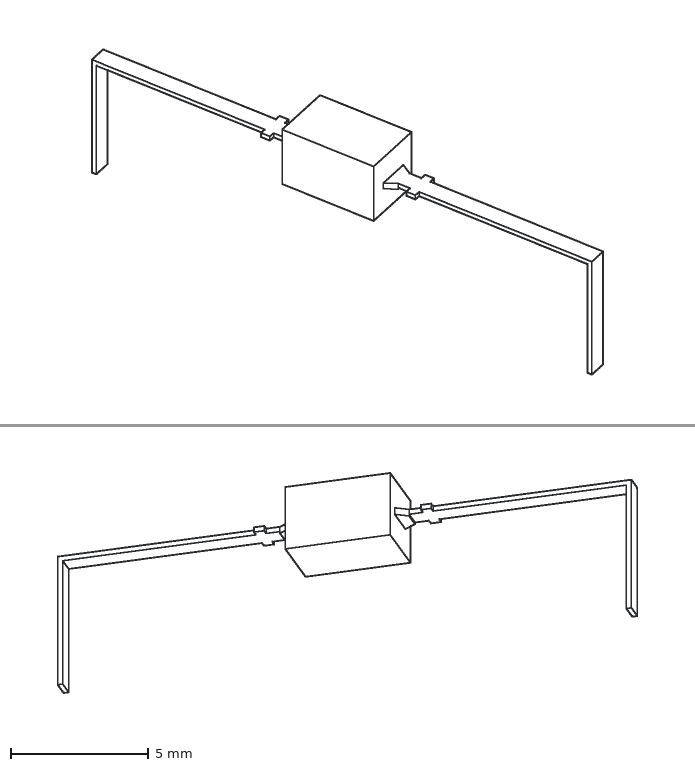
import cadquery as cq

span = 21.9
total_height = 6.33
housing_length = 4.0
housing_width = 2.5

lead_width = 0.75
lead_thickness = 0.2
lead_offset_y = 0.05
lead_drop = 1.16
lead_top = total_height - lead_drop

tab_length = 0.4
tab_width = 1.23
tab_gap = 0.99

root_length = 0.45
root_width = 1.31
root_thickness = 0.26

housing_end = housing_length / 2
span_end = span / 2


def make_housing():
    """Plain rectangular block with its underside above the lead feet."""
    housing_bottom = total_height - housing_width
    return (
        cq.Workplane("XY", origin=(0, 0, housing_bottom))
        .box(housing_length, housing_width, housing_width, centered=(True, True, False))
    )


def make_strip():
    """Horizontal strip bent down at its outer end into a leg, as an L profile."""
    lead_bottom = lead_top - lead_thickness
    leg_inner = span_end - lead_thickness
    return (
        cq.Workplane("XZ", origin=(0, lead_offset_y, 0))
        .polyline([
            (housing_end, lead_top),
            (span_end, lead_top),
            (span_end, 0),
            (leg_inner, 0),
            (leg_inner, lead_bottom),
            (housing_end, lead_bottom),
        ])
        .close()
        .extrude(lead_width / 2, both=True)
    )


def make_tab():
    """Flat cross tab, level with the strip and wider than it."""
    tab_centre = housing_end + tab_gap + tab_length / 2
    return (
        cq.Workplane("XY", origin=(tab_centre, lead_offset_y, lead_top - lead_thickness))
        .box(tab_length, tab_width, lead_thickness, centered=(True, True, False))
    )


def make_root():
    """Thicker plate that widens toward the housing end face."""
    root_end = housing_end + root_length
    return (
        cq.Workplane("XY", origin=(0, lead_offset_y, lead_top - root_thickness))
        .polyline([
            (housing_end, -root_width / 2),
            (root_end, -lead_width / 2),
            (root_end, lead_width / 2),
            (housing_end, root_width / 2),
        ])
        .close()
        .extrude(root_thickness)
    )


def make_lead(mirrored):
    """One lead in place on the +X end, or mirrored to the -X end."""
    lead = make_strip().union(make_tab()).union(make_root())
    return lead.mirror("YZ") if mirrored else lead


housing = make_housing()
leads = [make_lead(mirrored) for mirrored in (True, False)]

result = cq.Compound.makeCompound([housing.val(), *[lead.val() for lead in leads]])